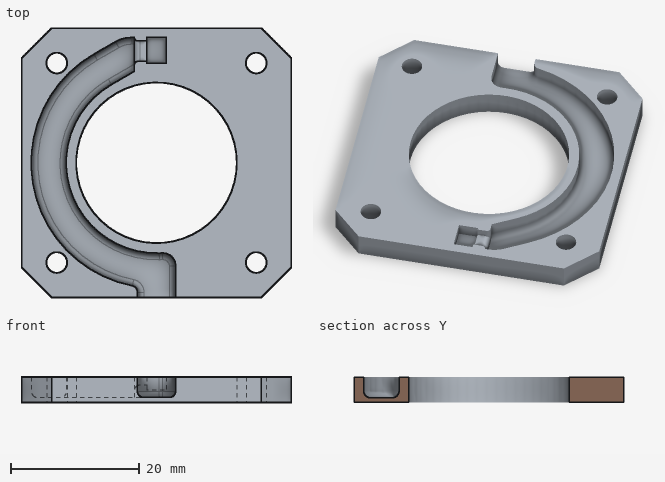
import cadquery as cq
import math

SIDE = 42.0
THICKNESS = 4.0
CORNER_CHAMFER = 4.65
BORE_DIAMETER = 25.0
SCREW_HOLE_DIAMETER = 3.2
SCREW_HOLE_SPACING = 31.1

CHANNEL_DEPTH = 3.2
INNER_RADIUS = 14.05
OUTER_RADIUS = 19.55
TANGENT_ANGLE = 120.0
CHANNEL_END_X = -3.45
OUTLET_WIDTH = 5.95
INNER_WALL_ARC_END_X = 0.38
FLOOR_FILLET = 1.0
OUTER_OUTLET_ROUNDING = 1.0
INNER_OUTLET_ROUNDING = 2.0
TOP_BEND_RADIUS = 5.05

POCKET_LENGTH = 3.02
POCKET_WIDTH = 4.07
POCKET_CENTER_Y = 17.5
POCKET_DEPTH = 2.0
PASSAGE_WIDTH = 3.2
PASSAGE_CENTER_Y = 17.4
PASSAGE_DEPTH = 1.2
PASSAGE_EDGE_ROUNDING = 0.8
MOUTH_ROUNDING = 0.5

TOP = THICKNESS
FLOOR = TOP - CHANNEL_DEPTH
SELECTION_MARGIN = 0.05


def polar(radius, degrees):
    angle = math.radians(degrees)
    return (radius * math.cos(angle), radius * math.sin(angle))


def make_plate():
    plate = cq.Workplane("XY").rect(SIDE, SIDE).extrude(THICKNESS)
    plate = plate.edges("|Z").chamfer(CORNER_CHAMFER)
    plate = plate.cut(cq.Workplane("XY").circle(BORE_DIAMETER / 2).extrude(THICKNESS))
    holes = (
        cq.Workplane("XY")
        .rect(SCREW_HOLE_SPACING, SCREW_HOLE_SPACING, forConstruction=True)
        .vertices()
        .circle(SCREW_HOLE_DIAMETER / 2)
        .extrude(THICKNESS)
    )
    return plate.cut(holes)


def make_channel():
    half_outlet = OUTLET_WIDTH / 2
    outside_y = -SIDE / 2
    slope = math.tan(math.radians(TANGENT_ANGLE - 90))

    outer_tangent = polar(OUTER_RADIUS, TANGENT_ANGLE)
    inner_tangent = polar(INNER_RADIUS, TANGENT_ANGLE)
    bend = (outer_tangent[0] + (OUTER_RADIUS - outer_tangent[1]) / slope, OUTER_RADIUS)
    inner_end_y = inner_tangent[1] + (CHANNEL_END_X - inner_tangent[0]) * slope

    outer_outlet = (-half_outlet, -math.sqrt(OUTER_RADIUS**2 - half_outlet**2))
    inner_arc_end_y = -math.sqrt(INNER_RADIUS**2 - INNER_WALL_ARC_END_X**2)
    inner_outlet_y = (INNER_RADIUS**2 - INNER_WALL_ARC_END_X * half_outlet) / inner_arc_end_y
    inner_outlet = (half_outlet, inner_outlet_y)

    channel = (
        cq.Workplane("XY", origin=(0, 0, FLOOR))
        .moveTo(CHANNEL_END_X, inner_end_y)
        .lineTo(CHANNEL_END_X, OUTER_RADIUS)
        .lineTo(*bend)
        .lineTo(*outer_tangent)
        .threePointArc((-OUTER_RADIUS, 0), outer_outlet)
        .lineTo(-half_outlet, outside_y)
        .lineTo(half_outlet, outside_y)
        .lineTo(*inner_outlet)
        .lineTo(INNER_WALL_ARC_END_X, inner_arc_end_y)
        .threePointArc((-INNER_RADIUS, 0), inner_tangent)
        .close()
        .extrude(CHANNEL_DEPTH)
    )

    def round_corner(body, point, radius):
        nearest = cq.selectors.NearestToPointSelector((*point, (FLOOR + TOP) / 2))
        return body.edges("|Z").edges(nearest).fillet(radius)

    channel = round_corner(channel, bend, TOP_BEND_RADIUS)
    channel = round_corner(channel, outer_outlet, OUTER_OUTLET_ROUNDING)
    channel = round_corner(channel, inner_outlet, INNER_OUTLET_ROUNDING)

    end_edges = cq.selectors.BoxSelector(
        (CHANNEL_END_X - SELECTION_MARGIN, 0, FLOOR - SELECTION_MARGIN),
        (CHANNEL_END_X + SELECTION_MARGIN, SIDE, FLOOR + SELECTION_MARGIN),
    )
    filleted_edges = cq.selectors.SubtractSelector(cq.selectors.StringSyntaxSelector("not <Y"), end_edges)
    return channel.faces("<Z").edges(filleted_edges).fillet(FLOOR_FILLET)


def make_pocket():
    base = cq.Workplane("XY", origin=(0, POCKET_CENTER_Y, TOP - POCKET_DEPTH))
    return base.rect(POCKET_LENGTH, POCKET_WIDTH).extrude(POCKET_DEPTH)


def make_passage():
    """Passage from the channel to the pocket, rounded over where it meets the channel end wall."""
    passage_floor = TOP - PASSAGE_DEPTH
    low_y = PASSAGE_CENTER_Y - PASSAGE_WIDTH / 2
    high_y = PASSAGE_CENTER_Y + PASSAGE_WIDTH / 2
    straight_x = CHANNEL_END_X + MOUTH_ROUNDING

    plan = (
        cq.Workplane("XY")
        .moveTo(0, low_y)
        .lineTo(straight_x, low_y)
        .radiusArc((CHANNEL_END_X, low_y - MOUTH_ROUNDING), -MOUTH_ROUNDING)
        .lineTo(CHANNEL_END_X, high_y + MOUTH_ROUNDING)
        .radiusArc((straight_x, high_y), -MOUTH_ROUNDING)
        .lineTo(0, high_y)
        .close()
        .extrude(THICKNESS)
    )
    side_profile = (
        cq.Workplane("XZ")
        .moveTo(CHANNEL_END_X, TOP)
        .lineTo(CHANNEL_END_X, passage_floor - PASSAGE_EDGE_ROUNDING)
        .radiusArc((CHANNEL_END_X + PASSAGE_EDGE_ROUNDING, passage_floor), PASSAGE_EDGE_ROUNDING)
        .lineTo(0, passage_floor)
        .lineTo(0, TOP)
        .close()
        .extrude(-SIDE / 2)
    )
    return plan.intersect(side_profile)


result = make_plate().cut(make_channel()).cut(make_pocket()).cut(make_passage())